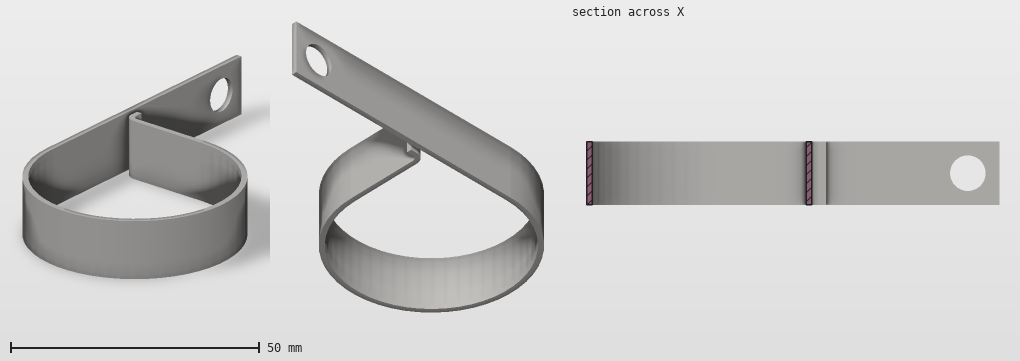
import cadquery as cq
import math

strip_width = 12.7
thickness = 1.22

outer_radius = 22.645
inner_radius = outer_radius - thickness

leg_length = 60.325
hole_diameter = 7.14
hole_end_distance = 6.35

lip_gap = 1.27
lip_height = 2.85
bend_inner_radius = 1.2
bend_outer_radius = bend_inner_radius + thickness

lip_outer_x = -inner_radius + lip_gap
lip_inner_x = lip_outer_x + thickness
lip_tip_y = outer_radius + lip_height
bend_x = lip_outer_x + bend_outer_radius
bend_y = inner_radius + bend_outer_radius


def on_circle(center_x, center_y, radius, degrees):
    angle = math.radians(degrees)
    return (center_x + radius * math.cos(angle), center_y + radius * math.sin(angle))


def make_strip():
    """Edge profile of the bent strip, extruded over the strip width."""
    loop_middle_angle = -45
    bend_middle_angle = 225
    return (
        cq.Workplane("XY")
        .moveTo(-outer_radius, leg_length)
        .lineTo(-outer_radius, 0)
        .threePointArc(on_circle(0, 0, outer_radius, loop_middle_angle), (0, outer_radius))
        .lineTo(bend_x, outer_radius)
        .threePointArc(
            on_circle(bend_x, bend_y, bend_inner_radius, bend_middle_angle), (lip_inner_x, bend_y)
        )
        .lineTo(lip_inner_x, lip_tip_y)
        .lineTo(lip_outer_x, lip_tip_y)
        .lineTo(lip_outer_x, bend_y)
        .threePointArc(
            on_circle(bend_x, bend_y, bend_outer_radius, bend_middle_angle), (bend_x, inner_radius)
        )
        .lineTo(0, inner_radius)
        .threePointArc(on_circle(0, 0, inner_radius, loop_middle_angle), (-inner_radius, 0))
        .lineTo(-inner_radius, leg_length)
        .close()
        .extrude(strip_width / 2, both=True)
    )


def make_hole_cutter():
    """Cylinder along X through the leg near its free end."""
    return (
        cq.Workplane("YZ", origin=(-outer_radius, 0, 0))
        .center(leg_length - hole_end_distance, 0)
        .circle(hole_diameter / 2)
        .extrude(thickness)
    )


result = make_strip().cut(make_hole_cutter())